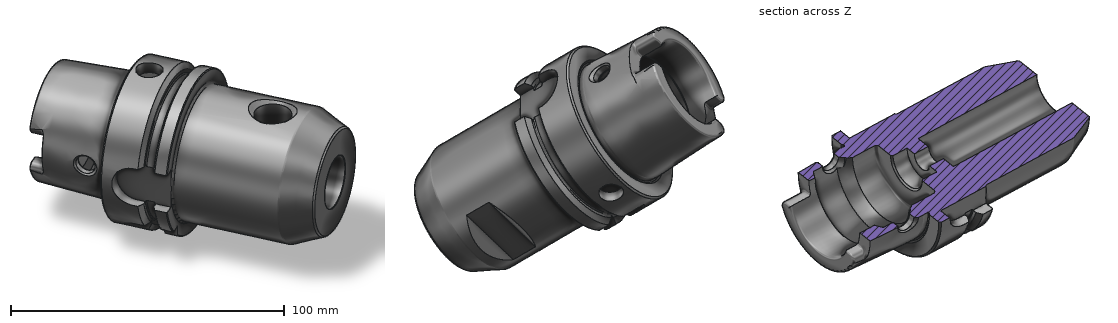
import cadquery as cq
import math

LENGTH = 112.0

NOSE_RADIUS = 22.8
TAPER_END_RADIUS = 24.2
TAPER_END_X = 30.2
NECK_X = 30.9
NECK_RADIUS = 24.1
NOSE_EDGE_FILLET = 1.0
NOSE_BORE_RADIUS = 17.0

FLANGE_RADIUS = 31.5
FLANGE_FRONT_X = 32.0
FLANGE_BACK_X = 58.0
FLANGE_FRONT_CHAMFER = 0.7
FLANGE_BACK_CHAMFER = 0.3
GROOVE_FRONT_X = 47.9
GROOVE_BACK_X = 51.9
GROOVE_FLOOR_RADIUS = 27.3
GROOVE_CORNER_FILLET = 0.5
GROOVE_FLANK_HEIGHT = 2.4
GROOVE_FLANK_ANGLE = 30
GROOVE_FLANK_RUN = GROOVE_FLANK_HEIGHT * math.tan(math.radians(GROOVE_FLANK_ANGLE))
GROOVE_FLANK_RADIUS = FLANGE_RADIUS - GROOVE_FLANK_HEIGHT
RELIEF_FLOOR_RADIUS = 24.8
RELIEF_RADIUS = 25.4
RELIEF_DEPTH = 0.5

BODY_RADIUS = 25.8
BODY_ROOT_FILLET = 0.9
CONE_START_X = 100.0
TIP_FACE_RADIUS = 20.0
TIP_CHAMFER = 0.7
CONE_EDGE_FILLET = 1.7

CHAMBER_RADIUS = 20.0
CHAMBER_SHOULDER_X = 12.9
CHAMBER_SHOULDER_ANGLE = 60
CHAMBER_TAPER_X = 25.3
CHAMBER_TAPER_ANGLE = 30
CHAMBER_FLOOR_X = 42.0
CHAMBER_FLOOR_FILLET = 1.2
TUBE_BORE_RADIUS = 16.9 / 2
TUBE_BORE_CHAMFER = 0.7
TUBE_BORE_END_X = 49.3
COOLANT_RADIUS = 4.3
SHANK_BORE_RADIUS = 20.0 / 2
SHANK_BORE_CHAMFER = 0.2
SHANK_BORE_START_X = 56.0

SLOT_HALF_WIDTH = 6.2
SLOT_DEPTH_BACK = 10.0
SLOT_DEPTH_FRONT = 5.9
SLOT_LIP_RADIUS = 2.8
SLOT_LIP_REACH = 23.1
SLOT_FLOOR_FILLET = 1.1

ACCESS_X = 23.0
ACCESS_RADIUS = 7.5 / 2
ACCESS_MOUTH_RADIUS = 4.6
ACCESS_OUTER_LEVEL = 23.7
ACCESS_INNER_LEVEL = 19.6

KEYWAY_START_X = 36.7
KEYWAY_FLOOR = 26.3
KEYWAY_HALF_WIDTH_FRONT = 16.0 / 2
KEYWAY_HALF_WIDTH_BACK = 18.0 / 2

NOTCH_FLOOR = 19.9
NOTCH_TOP = 20.2
NOTCH_END_RADIUS = 6.0
NOTCH_CENTER_X = 42.8

CHIP_X = 39.0
CHIP_RADIUS = 10.0 / 2
CHIP_FLOOR = 26.9
LOWER_POCKET_RADIUS = 4.5
LOWER_POCKET_TILT = 6

SCREW_X = 87.5
SCREW_RADIUS = 7.0
SCREW_MOUTH_RADIUS = 9.1
FLAT_LEVEL = 21.7
FLAT_HALF_LENGTH = 5.2

OVERSHOOT = 5.6

COUNTERSINK_LEAD = 1.1

PICK_MARGIN = 0.1


def revolve_about_x(profile):
    """Turn a closed (x, radius) profile around the X axis."""
    return profile.close().revolve(360, (0, 0, 0), (1, 0, 0))


def countersink(radius, mouth_radius, mouth_point, inward):
    """45 degree cone that has the mouth radius at the mouth point and flares on outside it."""
    direction = cq.Vector(*inward)
    start = cq.Vector(*mouth_point) - direction * COUNTERSINK_LEAD
    start_radius = mouth_radius + COUNTERSINK_LEAD
    return cq.Workplane(obj=cq.Solid.makeCone(start_radius, radius, start_radius - radius, start, direction))


def cylinder(radius, height, base, direction):
    return cq.Workplane(obj=cq.Solid.makeCylinder(radius, height, cq.Vector(*base), cq.Vector(*direction)))


def arc_inset(radius):
    """Distance from each side of a square corner to the middle of its fillet arc."""
    return radius * (1 - math.sqrt(0.5))


def outer_body():
    nose_mid = arc_inset(NOSE_EDGE_FILLET)
    root_radius = BODY_RADIUS + BODY_ROOT_FILLET
    groove_mid = arc_inset(GROOVE_CORNER_FILLET)
    root_mid = arc_inset(BODY_ROOT_FILLET)
    profile = (
        cq.Workplane("XY")
        .moveTo(0, 0)
        .lineTo(0, NOSE_RADIUS - NOSE_EDGE_FILLET)
        .threePointArc(
            (nose_mid, NOSE_RADIUS - nose_mid),
            (NOSE_EDGE_FILLET, NOSE_RADIUS),
        )
        .lineTo(TAPER_END_X, TAPER_END_RADIUS)
        .lineTo(NECK_X, NECK_RADIUS)
        .lineTo(FLANGE_FRONT_X + RELIEF_DEPTH, NECK_RADIUS)
        .lineTo(FLANGE_FRONT_X + RELIEF_DEPTH, RELIEF_FLOOR_RADIUS)
        .lineTo(FLANGE_FRONT_X, RELIEF_RADIUS)
        .lineTo(FLANGE_FRONT_X, FLANGE_RADIUS - FLANGE_FRONT_CHAMFER)
        .lineTo(FLANGE_FRONT_X + FLANGE_FRONT_CHAMFER, FLANGE_RADIUS)
        .lineTo(GROOVE_FRONT_X - GROOVE_FLANK_RUN, FLANGE_RADIUS)
        .lineTo(GROOVE_FRONT_X, GROOVE_FLANK_RADIUS)
        .lineTo(GROOVE_FRONT_X, GROOVE_FLOOR_RADIUS + GROOVE_CORNER_FILLET)
        .threePointArc(
            (GROOVE_FRONT_X + groove_mid, GROOVE_FLOOR_RADIUS + groove_mid),
            (GROOVE_FRONT_X + GROOVE_CORNER_FILLET, GROOVE_FLOOR_RADIUS),
        )
        .lineTo(GROOVE_BACK_X - GROOVE_CORNER_FILLET, GROOVE_FLOOR_RADIUS)
        .threePointArc(
            (GROOVE_BACK_X - groove_mid, GROOVE_FLOOR_RADIUS + groove_mid),
            (GROOVE_BACK_X, GROOVE_FLOOR_RADIUS + GROOVE_CORNER_FILLET),
        )
        .lineTo(GROOVE_BACK_X, GROOVE_FLANK_RADIUS)
        .lineTo(GROOVE_BACK_X + GROOVE_FLANK_RUN, FLANGE_RADIUS)
        .lineTo(FLANGE_BACK_X - FLANGE_BACK_CHAMFER, FLANGE_RADIUS)
        .lineTo(FLANGE_BACK_X, FLANGE_RADIUS - FLANGE_BACK_CHAMFER)
        .lineTo(FLANGE_BACK_X, root_radius)
        .threePointArc(
            (FLANGE_BACK_X + root_mid, BODY_RADIUS + root_mid),
            (FLANGE_BACK_X + BODY_ROOT_FILLET, BODY_RADIUS),
        )
        .lineTo(CONE_START_X, BODY_RADIUS)
        .lineTo(LENGTH - TIP_CHAMFER, TIP_FACE_RADIUS + TIP_CHAMFER)
        .lineTo(LENGTH, TIP_FACE_RADIUS)
        .lineTo(LENGTH, 0)
    )
    body = revolve_about_x(profile)
    pick_radius = BODY_RADIUS + PICK_MARGIN
    near_cone_start = cq.selectors.BoxSelector(
        (CONE_START_X - PICK_MARGIN, -pick_radius, -pick_radius),
        (CONE_START_X + PICK_MARGIN, pick_radius, pick_radius),
        boundingbox=True,
    )
    return body.edges(near_cone_start).fillet(CONE_EDGE_FILLET)


def inner_bores():
    nose_mid = arc_inset(NOSE_EDGE_FILLET)
    floor_mid = arc_inset(CHAMBER_FLOOR_FILLET)
    chamber_step = CHAMBER_RADIUS - NOSE_BORE_RADIUS
    shoulder_run = chamber_step / math.tan(math.radians(CHAMBER_SHOULDER_ANGLE))
    taper_run = chamber_step / math.tan(math.radians(CHAMBER_TAPER_ANGLE))
    profile = (
        cq.Workplane("XY")
        .moveTo(0, 0)
        .lineTo(0, NOSE_BORE_RADIUS + NOSE_EDGE_FILLET)
        .threePointArc(
            (nose_mid, NOSE_BORE_RADIUS + nose_mid),
            (NOSE_EDGE_FILLET, NOSE_BORE_RADIUS),
        )
        .lineTo(CHAMBER_SHOULDER_X, NOSE_BORE_RADIUS)
        .lineTo(CHAMBER_SHOULDER_X + shoulder_run, CHAMBER_RADIUS)
        .lineTo(CHAMBER_TAPER_X, CHAMBER_RADIUS)
        .lineTo(CHAMBER_TAPER_X + taper_run, NOSE_BORE_RADIUS)
        .lineTo(CHAMBER_FLOOR_X - CHAMBER_FLOOR_FILLET, NOSE_BORE_RADIUS)
        .threePointArc(
            (CHAMBER_FLOOR_X - floor_mid, NOSE_BORE_RADIUS - floor_mid),
            (CHAMBER_FLOOR_X, NOSE_BORE_RADIUS - CHAMBER_FLOOR_FILLET),
        )
        .lineTo(CHAMBER_FLOOR_X, TUBE_BORE_RADIUS + TUBE_BORE_CHAMFER)
        .lineTo(CHAMBER_FLOOR_X + TUBE_BORE_CHAMFER, TUBE_BORE_RADIUS)
        .lineTo(TUBE_BORE_END_X, TUBE_BORE_RADIUS)
        .lineTo(TUBE_BORE_END_X, COOLANT_RADIUS)
        .lineTo(SHANK_BORE_START_X, COOLANT_RADIUS)
        .lineTo(SHANK_BORE_START_X, SHANK_BORE_RADIUS)
        .lineTo(LENGTH - SHANK_BORE_CHAMFER, SHANK_BORE_RADIUS)
        .lineTo(LENGTH, SHANK_BORE_RADIUS + SHANK_BORE_CHAMFER)
        .lineTo(LENGTH, 0)
    )
    return revolve_about_x(profile)


def drive_slot(depth, side):
    """Slot through the nose wall on one Y side; its walls round over into the outer surface."""
    center_radius = SLOT_LIP_REACH - SLOT_LIP_RADIUS
    center_z = SLOT_HALF_WIDTH + SLOT_LIP_RADIUS
    center_y = math.sqrt(center_radius**2 - center_z**2)
    lip_angle = math.atan2(center_z, center_y)

    def lip_point(angle):
        return (center_y + SLOT_LIP_RADIUS * math.cos(angle), center_z + SLOT_LIP_RADIUS * math.sin(angle))

    lip_end = lip_point(lip_angle)
    lip_mid = lip_point((lip_angle - math.pi / 2) / 2)
    flare_end = (lip_end[0] - OVERSHOOT * math.sin(lip_angle), lip_end[1] + OVERSHOOT * math.cos(lip_angle))
    outside_y = NOSE_RADIUS + OVERSHOOT

    def mirrored(point):
        return (point[0], -point[1])

    def wall_edges_at(x):
        return cq.selectors.BoxSelector(
            (x - PICK_MARGIN, PICK_MARGIN, -outside_y),
            (x + PICK_MARGIN, outside_y - PICK_MARGIN, outside_y),
        )

    slot = (
        cq.Workplane("YZ")
        .moveTo(0, -SLOT_HALF_WIDTH)
        .lineTo(0, SLOT_HALF_WIDTH)
        .lineTo(center_y, SLOT_HALF_WIDTH)
        .threePointArc(lip_mid, lip_end)
        .lineTo(*flare_end)
        .lineTo(outside_y, flare_end[1])
        .lineTo(outside_y, -flare_end[1])
        .lineTo(*mirrored(flare_end))
        .lineTo(*mirrored(lip_end))
        .threePointArc(mirrored(lip_mid), (center_y, -SLOT_HALF_WIDTH))
        .close()
        .extrude(depth)
        .edges(wall_edges_at(depth))
        .fillet(SLOT_FLOOR_FILLET)
    )
    block = cq.Workplane("YZ").rect(4 * outside_y, 4 * outside_y).extrude(-OVERSHOOT)
    slot = block.union(slot).edges(wall_edges_at(0)).fillet(NOSE_EDGE_FILLET)
    return slot if side > 0 else slot.mirror("XZ")


def access_holes():
    span = 2 * (TAPER_END_RADIUS + OVERSHOOT)
    holes = cylinder(ACCESS_RADIUS, span, (ACCESS_X, -span / 2, 0), (0, 1, 0))
    for side in (-1, 1):
        outer = (ACCESS_X, side * ACCESS_OUTER_LEVEL, 0)
        inner = (ACCESS_X, side * ACCESS_INNER_LEVEL, 0)
        holes = holes.union(countersink(ACCESS_RADIUS, ACCESS_MOUTH_RADIUS, outer, (0, -side, 0)))
        holes = holes.union(countersink(ACCESS_RADIUS, ACCESS_MOUTH_RADIUS, inner, (0, side, 0)))
    return holes


def keyway(half_width, side):
    """Round-ended keyway, open toward the back of the flange."""
    center_x = KEYWAY_START_X + half_width
    key = (
        cq.Workplane("XZ")
        .moveTo(FLANGE_BACK_X + BODY_ROOT_FILLET, half_width)
        .lineTo(center_x, half_width)
        .threePointArc((KEYWAY_START_X, 0), (center_x, -half_width))
        .lineTo(FLANGE_BACK_X + BODY_ROOT_FILLET, -half_width)
        .close()
        .extrude(FLANGE_RADIUS)
        .translate((0, -KEYWAY_FLOOR, 0))
    )
    return key if side < 0 else key.mirror("XZ")


def orientation_notch():
    """Flat-floored notch facing -Y, rounded at its front end and open downward."""
    center_z = -NOTCH_TOP - NOTCH_END_RADIUS
    start_x = NOTCH_CENTER_X - NOTCH_END_RADIUS
    arc_mid = NOTCH_END_RADIUS * math.sqrt(0.5)
    return (
        cq.Workplane("XZ")
        .moveTo(start_x, -FLANGE_RADIUS)
        .lineTo(start_x, center_z)
        .threePointArc((NOTCH_CENTER_X - arc_mid, center_z + arc_mid), (NOTCH_CENTER_X, -NOTCH_TOP))
        .lineTo(FLANGE_BACK_X, -NOTCH_TOP)
        .lineTo(FLANGE_BACK_X, -FLANGE_RADIUS)
        .close()
        .extrude(FLANGE_RADIUS)
        .translate((0, -NOTCH_FLOOR, 0))
    )


def rim_pockets():
    depth = FLANGE_RADIUS + OVERSHOOT - CHIP_FLOOR
    upper = cylinder(CHIP_RADIUS, depth, (CHIP_X, 0, CHIP_FLOOR), (0, 0, 1))
    lower = cylinder(LOWER_POCKET_RADIUS, depth, (CHIP_X, 0, -CHIP_FLOOR), (0, 0, -1))
    lower = lower.rotate((0, 0, 0), (1, 0, 0), -LOWER_POCKET_TILT)
    return upper.union(lower)


def screw_hole():
    hole = cylinder(SCREW_RADIUS, BODY_RADIUS + OVERSHOOT, (SCREW_X, 0, 0), (0, 0, 1))
    mouth_point = (SCREW_X, 0, BODY_RADIUS)
    return hole.union(countersink(SCREW_RADIUS, SCREW_MOUTH_RADIUS, mouth_point, (0, 0, -1)))


def balancing_flat():
    """Trough with 45 degree ends, running across the body in Y."""
    depth = BODY_RADIUS + OVERSHOOT - FLAT_LEVEL
    return (
        cq.Workplane("XZ")
        .moveTo(SCREW_X - FLAT_HALF_LENGTH, -FLAT_LEVEL)
        .lineTo(SCREW_X + FLAT_HALF_LENGTH, -FLAT_LEVEL)
        .lineTo(SCREW_X + FLAT_HALF_LENGTH + depth, -FLAT_LEVEL - depth)
        .lineTo(SCREW_X - FLAT_HALF_LENGTH - depth, -FLAT_LEVEL - depth)
        .close()
        .extrude(BODY_RADIUS, both=True)
    )


result = outer_body().cut(inner_bores())
result = result.cut(drive_slot(SLOT_DEPTH_BACK, 1)).cut(drive_slot(SLOT_DEPTH_FRONT, -1))
result = result.cut(access_holes())
result = result.cut(keyway(KEYWAY_HALF_WIDTH_FRONT, -1)).cut(keyway(KEYWAY_HALF_WIDTH_BACK, 1))
result = result.cut(orientation_notch()).cut(rim_pockets())
result = result.cut(screw_hole()).cut(balancing_flat())